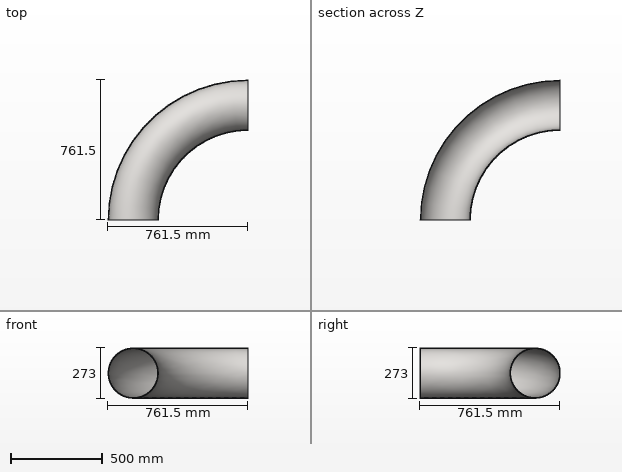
import cadquery as cq

outer_diameter = 273.0
wall_thickness = 3.0
bend_radius = 625.0
bend_angle = 90.0

outer_radius = outer_diameter / 2
inner_radius = outer_radius - wall_thickness


def pipe_elbow():
    """Sweep the pipe ring about a vertical axis, from the mouth facing -Y to the mouth facing +X."""
    ring = cq.Workplane("XZ").circle(outer_radius).circle(inner_radius)
    axis_start = (bend_radius, 0)
    axis_end = (bend_radius, -1)
    return ring.revolve(bend_angle, axis_start, axis_end)


result = pipe_elbow()